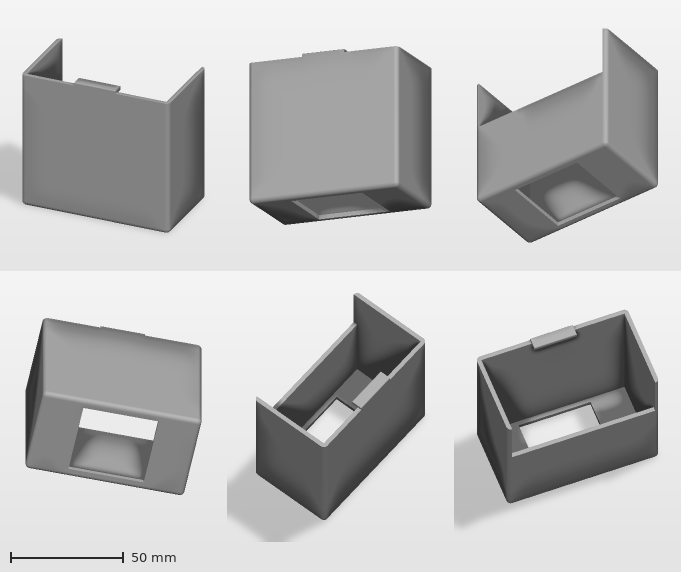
import cadquery as cq

length = 71.8
depth = 40.3
total_height = 66.05
wall = 2.0
edge_radius = wall

hook_rise = 1.5
hook_width = 20.1
hook_reach = 5.45
hook_thickness = 2.0
hook_radius = 0.5

rim_height = total_height - hook_rise
back_drop = 24.0

window_length = 34.0
window_depth = depth - 4 * wall


def box_on_z(size_x, size_y, size_z, base_z):
    return cq.Workplane("XY").workplane(offset=base_z).rect(size_x, size_y).extrude(size_z)


def make_shell():
    """Open-topped box with rounded upright and bottom edges."""
    outer = box_on_z(length, depth, rim_height, 0)
    outer = outer.edges("|Z or <Z").fillet(edge_radius)
    cavity = box_on_z(length - 2 * wall, depth - 2 * wall, rim_height, wall)
    return outer.cut(cavity)


def make_back_opening():
    """Volume removed from the back wall between the side walls."""
    opening = box_on_z(length - 2 * wall, 2 * wall, back_drop, rim_height - back_drop)
    return opening.translate((0, depth / 2, 0))


def make_hook():
    """Bar overhanging the cavity from the front rim, with rounded long edges."""
    bar = box_on_z(hook_width, hook_reach, hook_thickness, total_height - hook_thickness)
    bar = bar.translate((0, (hook_reach - depth) / 2, 0))
    top_edges = bar.faces(">Z").edges("|X")
    tip_bottom_edge = bar.faces(">Y").edges("<Z")
    return bar.newObject(top_edges.vals() + tip_bottom_edge.vals()).fillet(hook_radius)


window = box_on_z(window_length, window_depth, 2 * wall, -wall / 2)

result = make_shell().cut(make_back_opening()).cut(window).union(make_hook())